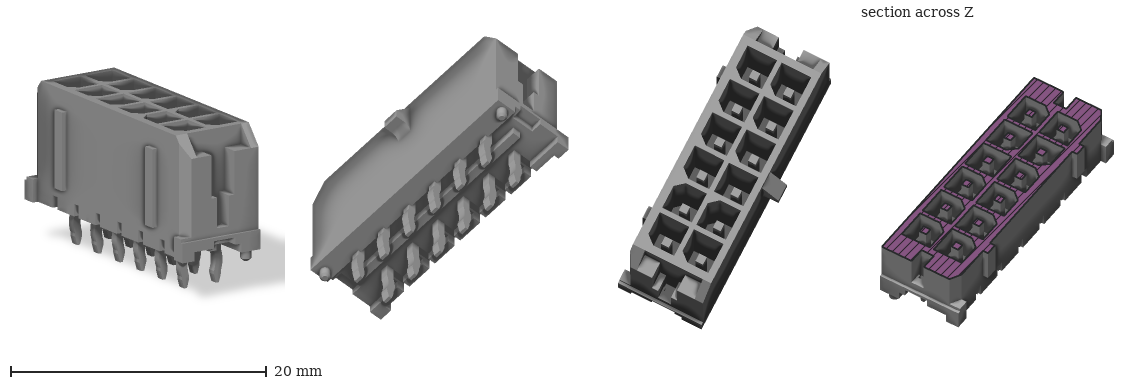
import cadquery as cq


HALF_LENGTH = 10.83
BACK_Y = 3.37
FRONT_Y = -3.5
TOP_Z = 9.92
SHOULDER_Z = 8.26
TOP_HALF_LENGTH = 9.44
CORNER_X = 9.9
CORNER_DEPTH = 0.53

FLANGE_X = 11.08
FLANGE_TOP_Z = 1.6
FOOT_FRONT_Y = -3.96
FOOT_TOP_Z = 1.88

RECESS_BACK_Y = 2.64
RECESS_FRONT_Y = -2.44
WIDE_SLOT_WIDTH = 2.2
WIDE_SLOT_FLOOR_Z = 4.75
NARROW_SLOT_WIDTH = 1.13
SLOT_FLOOR_Z = 2.25
POCKET_OUTER_X = 10.12
POCKET_STEP_X = 9.81
POCKET_WIDTH = 0.85
POCKET_DEPTH = 0.45

CLEARANCE_BACK_Y = 1.6
CLEARANCE_FRONT_Y = -2.84
CLEARANCE_TOP_Z = 0.73
END_NOTCH_WIDTH = 2.04
END_NOTCH_TOP_Z = 1.33
RIB_WIDTH = 0.69
PIN_NOTCH_TOP_Z = 1.02

COLUMNS = 6
COLUMN_SPAN = 15.0
PITCH = COLUMN_SPAN / (COLUMNS - 1)
ROW_OFFSET = PITCH / 2
CAVITY_SIZE = 2.6
CAVITY_FLOOR_Z = 2.25
KEY_X = 0.65
KEY_Y = 0.75
BACK_ROW_KEYS = [1, 1, 1, 0, -1, 1]
FRONT_ROW_KEYS = [1, 1, 1, 1, -1, 1]
PIN_WIDTH = 0.66
PIN_TOP_Z = 7.09

KINK_TOP_Z = -0.53
KINK_BOTTOM_Z = -2.2
KINK_OFFSET = 0.145
TAPER_START_Z = -2.45
TAIL_END_Z = -3.17
TAPER_INSET = 0.2

GUIDE_X = 6.33
GUIDE_WIDTH = 1.05
LATCH_WIDTH = 1.45
LATCH_Y = 4.8
LATCH_TOP_Z = 9.33
LATCH_NOSE_TOP_Z = 7.75
LATCH_NOSE_BOTTOM_Z = 6.93
LATCH_ARC_START_Y = 4.03
LATCH_ROOT_Z = 6.35
PEG_X = 10.43
PEG_Y = 2.41
PEG_DIAMETER = 0.86
PEG_LENGTH = 0.89
PEG_CHAMFER = 0.2


def block(x0, x1, y0, y1, z0, z1):
    """Box between two opposite corners."""
    return cq.Workplane("XY").box(x1 - x0, y1 - y0, z1 - z0, centered=False).translate((x0, y0, z0))


def on_both_ends(shape):
    """The shape at the +X end joined with its mirror image at the -X end."""
    return shape.union(shape.mirror("YZ"))


def housing():
    side_profile = (
        cq.Workplane("XZ", origin=(0, BACK_Y, 0))
        .polyline([
            (-HALF_LENGTH, 0), (HALF_LENGTH, 0), (HALF_LENGTH, SHOULDER_Z), (TOP_HALF_LENGTH, TOP_Z),
            (-TOP_HALF_LENGTH, TOP_Z), (-HALF_LENGTH, SHOULDER_Z),
        ])
        .close()
        .extrude(BACK_Y - FRONT_Y)
    )
    corner = (
        cq.Workplane("XY")
        .polyline([(CORNER_X, FRONT_Y), (HALF_LENGTH, FRONT_Y), (HALF_LENGTH, FRONT_Y + CORNER_DEPTH)])
        .close()
        .extrude(TOP_Z)
    )
    return side_profile.cut(on_both_ends(corner))


def flanges_and_feet():
    flange = block(CORNER_X, FLANGE_X, FOOT_FRONT_Y, BACK_Y, 0, FLANGE_TOP_Z)
    foot = block(CORNER_X, HALF_LENGTH, FOOT_FRONT_Y, FRONT_Y + CORNER_DEPTH, 0, FOOT_TOP_Z)
    return on_both_ends(flange.union(foot))


def end_slots():
    def slot(inner_x, outer_x, width, floor_z):
        return block(inner_x, outer_x, -width / 2, width / 2, floor_z, TOP_Z)

    pocket_floor_z = SLOT_FLOOR_Z - POCKET_DEPTH
    cutter = block(TOP_HALF_LENGTH, HALF_LENGTH, RECESS_FRONT_Y, RECESS_BACK_Y, SHOULDER_Z, TOP_Z)
    cutter = cutter.union(slot(TOP_HALF_LENGTH, HALF_LENGTH, WIDE_SLOT_WIDTH, WIDE_SLOT_FLOOR_Z))
    cutter = cutter.union(slot(TOP_HALF_LENGTH, HALF_LENGTH, NARROW_SLOT_WIDTH, SLOT_FLOOR_Z))
    cutter = cutter.union(slot(TOP_HALF_LENGTH, POCKET_OUTER_X, POCKET_WIDTH, pocket_floor_z))
    cutter = cutter.union(slot(TOP_HALF_LENGTH, POCKET_STEP_X, NARROW_SLOT_WIDTH, pocket_floor_z))
    return on_both_ends(cutter)


def underside_clearance():
    channel = block(-FLANGE_X, FLANGE_X, CLEARANCE_FRONT_Y, CLEARANCE_BACK_Y, 0, CLEARANCE_TOP_Z)
    rib = block(-TOP_HALF_LENGTH, TOP_HALF_LENGTH, -RIB_WIDTH / 2, RIB_WIDTH / 2, 0, CLEARANCE_TOP_Z)
    end_notch = block(
        POCKET_OUTER_X, FLANGE_X, -END_NOTCH_WIDTH / 2, END_NOTCH_WIDTH / 2, 0, END_NOTCH_TOP_Z
    )
    return channel.cut(rib).union(on_both_ends(end_notch))


def cavity(x, y, key_side):
    half = CAVITY_SIZE / 2
    well = block(x - half, x + half, y - half, y + half, CAVITY_FLOOR_Z, TOP_Z)
    if key_side == 0:
        return well
    corner_x = x + key_side * half
    key = (
        cq.Workplane("XY", origin=(0, 0, CAVITY_FLOOR_Z))
        .polyline([
            (corner_x - key_side * KEY_X, y - half), (corner_x, y - half), (corner_x, y - half + KEY_Y),
        ])
        .close()
        .extrude(TOP_Z - CAVITY_FLOOR_Z)
    )
    return well.cut(key)


def front_row_pin(x):
    """Pin whose tail bows towards the front."""
    front = -ROW_OFFSET - PIN_WIDTH / 2
    back = -ROW_OFFSET + PIN_WIDTH / 2
    kink_mid_z = (KINK_TOP_Z + KINK_BOTTOM_Z) / 2
    return (
        cq.Workplane("YZ", origin=(x - PIN_WIDTH / 2, 0, 0))
        .moveTo(back, PIN_TOP_Z)
        .lineTo(front, PIN_TOP_Z)
        .lineTo(front, KINK_TOP_Z)
        .threePointArc((front - KINK_OFFSET, kink_mid_z), (front, KINK_BOTTOM_Z))
        .lineTo(front, TAPER_START_Z)
        .lineTo(front + TAPER_INSET, TAIL_END_Z)
        .lineTo(back - TAPER_INSET, TAIL_END_Z)
        .lineTo(back, TAPER_START_Z)
        .lineTo(back, KINK_BOTTOM_Z)
        .threePointArc((back - KINK_OFFSET, kink_mid_z), (back, KINK_TOP_Z))
        .close()
        .extrude(PIN_WIDTH)
    )


def latch():
    return (
        cq.Workplane("YZ", origin=(-LATCH_WIDTH / 2, 0, 0))
        .moveTo(BACK_Y, LATCH_TOP_Z)
        .lineTo(LATCH_Y, LATCH_NOSE_TOP_Z)
        .lineTo(LATCH_Y, LATCH_NOSE_BOTTOM_Z)
        .lineTo(LATCH_ARC_START_Y, LATCH_NOSE_BOTTOM_Z)
        .tangentArcPoint((BACK_Y, LATCH_ROOT_Z), relative=False)
        .close()
        .extrude(LATCH_WIDTH)
    )


def guide_ribs():
    half = GUIDE_WIDTH / 2
    return on_both_ends(
        block(GUIDE_X - half, GUIDE_X + half, FOOT_FRONT_Y, FRONT_Y, FOOT_TOP_Z, SHOULDER_Z)
    )


def pegs():
    peg = (
        cq.Workplane("XY")
        .center(PEG_X, PEG_Y)
        .circle(PEG_DIAMETER / 2)
        .extrude(-PEG_LENGTH)
        .faces("<Z")
        .chamfer(PEG_CHAMFER)
    )
    return on_both_ends(peg)


result = housing().union(flanges_and_feet())
result = result.cut(end_slots()).cut(underside_clearance())
result = result.union(latch()).union(guide_ribs()).union(pegs())

for column in range(COLUMNS):
    pin_x = column * PITCH - COLUMN_SPAN / 2
    result = result.cut(cavity(pin_x, ROW_OFFSET, BACK_ROW_KEYS[column]))
    result = result.cut(cavity(pin_x, -ROW_OFFSET, FRONT_ROW_KEYS[column]))
    pin_notch = block(
        pin_x - PIN_WIDTH / 2, pin_x + PIN_WIDTH / 2, FRONT_Y, -ROW_OFFSET, 0, PIN_NOTCH_TOP_Z
    )
    pin = front_row_pin(pin_x)
    result = result.cut(pin_notch).union(pin).union(pin.mirror("XZ"))